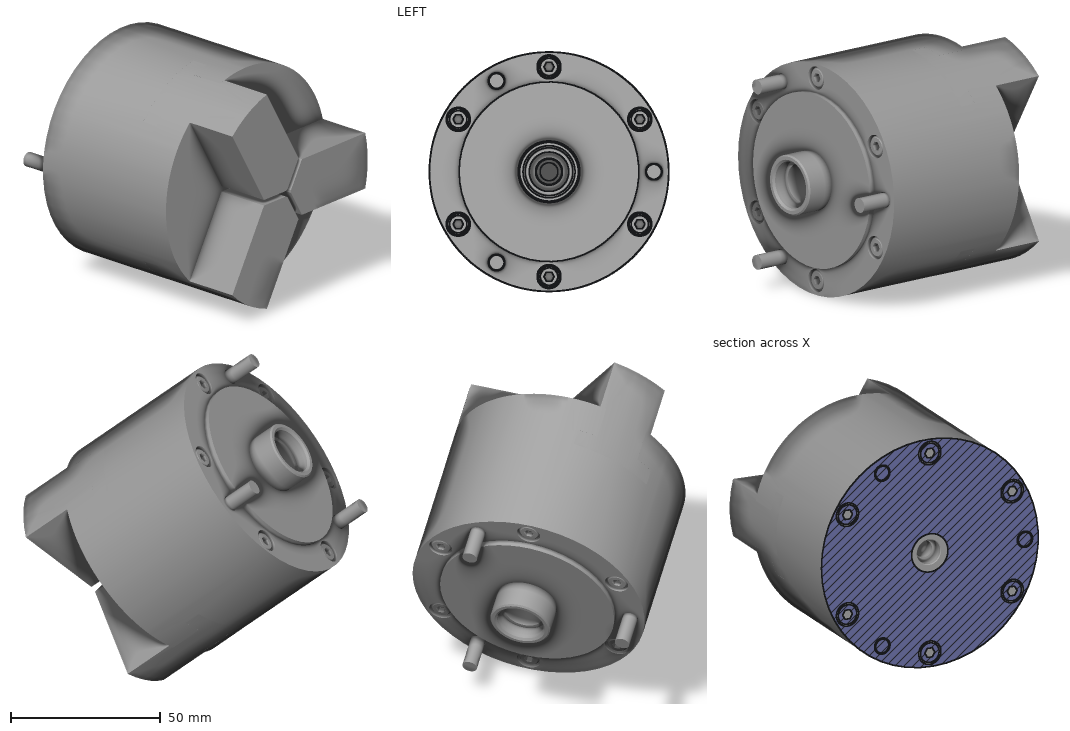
import cadquery as cq
import math


body_diameter = 80.0
body_length = 55.0
flange_diameter = 60.0
flange_thickness = 2.0

hub_diameter = 20.6
hub_end = -11.86
hub_chamfer = 0.5
entry_diameter = 16.0
entry_chamfer = 0.7
entry_depth = 5.0
bore_diameter = 13.2
bore_depth = 14.0
inner_diameter = 8.5
inner_chamfer = 0.25
inner_depth = 18.0
tip_diameter = 6.0
tip_depth = 22.0

pitch_radius = 35.0
pin_diameter = 5.0
pin_projection = 11.0
pin_hole_diameter = 5.5
pin_hole_depth = 10.0
pin_angles = (60, 180, 300)
screw_count = 6
first_screw_angle = 30
counterbore_diameter = 8.0
counterbore_depth = 4.4
head_diameter = 7.0
head_height = 4.0
head_chamfer = 0.6
hex_across_flats = 3.0
hex_depth = 2.0

jaw_angles = (0, 120, 240)
jaw_radius = 39.98
jaw_projection = 19.0
jaw_width = 20.0
jaw_gap = 2.0
jaw_tip_width = 1.0
jaw_point_half_angle = 180 / len(jaw_angles)
guide_neck_width = 16.0
guide_neck_depth = 12.0
guide_foot_width = 29.0
guide_foot_depth = 6.0
guide_foot_start = body_length - guide_neck_depth - guide_foot_depth


def cylinder(diameter, start, end):
    """Cylinder on the X axis between two X positions."""
    return cq.Workplane("YZ").workplane(offset=start).circle(diameter / 2).extrude(end - start)


def countersink(hole_diameter, chamfer, start):
    """45 degree cone that widens the mouth of a hole starting at an X position."""
    hole_radius = hole_diameter / 2
    return (
        cq.Workplane("YZ").workplane(offset=start)
        .circle(hole_radius + chamfer)
        .workplane(offset=chamfer).circle(hole_radius).loft()
    )


def place(solid, radius, angle):
    """Move a feature out along +Y, then turn it about X from +Y towards +Z."""
    return solid.translate((0, radius, 0)).rotate((0, 0, 0), (1, 0, 0), angle)


def place_upright(solid, radius, angle):
    """Move a feature to a polar position in YZ without turning it."""
    turn = math.radians(angle)
    return solid.translate((0, radius * math.cos(turn), radius * math.sin(turn)))


def make_body():
    """Solid body with the locating flange and the hub behind it."""
    body = cylinder(body_diameter, 0, body_length)
    flange = cylinder(flange_diameter, -flange_thickness, 0)
    hub = cylinder(hub_diameter, hub_end, -flange_thickness).faces("<X").chamfer(hub_chamfer)
    return body.union(flange).union(hub)


def make_hub_bore():
    """Stepped bore running forward from the rear end of the hub."""
    entry_end = hub_end + entry_depth
    bore_end = hub_end + bore_depth
    inner_end = hub_end + inner_depth
    return (
        cylinder(entry_diameter, hub_end, entry_end)
        .union(countersink(entry_diameter, entry_chamfer, hub_end))
        .union(cylinder(bore_diameter, entry_end, bore_end))
        .union(cylinder(inner_diameter, bore_end, inner_end))
        .union(countersink(inner_diameter, inner_chamfer, bore_end))
        .union(cylinder(tip_diameter, inner_end, hub_end + tip_depth))
    )


def make_screw_head():
    """Cap screw head with a hex socket, standing on the counterbore floor."""
    head_top = counterbore_depth - head_height
    hex_corner_diameter = hex_across_flats / math.cos(math.pi / 6)
    head = cylinder(head_diameter, head_top, counterbore_depth).faces("<X").chamfer(head_chamfer)
    socket = (
        cq.Workplane("YZ").workplane(offset=head_top)
        .polygon(6, hex_corner_diameter).extrude(hex_depth)
    )
    return head.cut(socket)


def make_guide_bar(start, depth, width):
    """Rectangular bar from the chuck axis to well past the body surface, along +Y."""
    bar = cq.Workplane("XY").box(depth, body_diameter, width, centered=(False, False, True))
    return bar.translate((start, 0, 0))


def make_guide():
    """T guide made of a wide foot with a narrower neck in front of it."""
    foot = make_guide_bar(guide_foot_start, guide_foot_depth, guide_foot_width)
    neck_start = guide_foot_start + guide_foot_depth
    neck = make_guide_bar(neck_start, guide_neck_depth, guide_neck_width)
    return foot.union(neck)


def make_guide_recess():
    """Thin sliver that lowers the T guide from the body surface to the jaw radius."""
    return make_guide().cut(cylinder(2 * jaw_radius, 0, body_length))


def make_jaw():
    """Gripping block along +Y, rounded outside, with a 120 degree point towards the axis."""
    half_width = jaw_width / 2
    half_tip = jaw_tip_width / 2
    half_angle = math.radians(jaw_point_half_angle)
    point_slope = 1 / math.tan(half_angle)
    apex = jaw_gap / 2 / math.sin(half_angle)
    tip = apex + half_tip * point_slope
    shoulder = apex + half_width * point_slope
    block = (
        cq.Workplane("YZ").workplane(offset=body_length)
        .polyline([
            (tip, -half_tip),
            (shoulder, -half_width),
            (body_diameter, -half_width),
            (body_diameter, half_width),
            (shoulder, half_width),
            (tip, half_tip),
        ]).close().extrude(jaw_projection)
    )
    return block.intersect(cylinder(2 * jaw_radius, body_length, body_length + jaw_projection))


result = make_body().cut(make_hub_bore())

counterbore = cylinder(counterbore_diameter, 0, counterbore_depth)
screw_head = make_screw_head()
for index in range(screw_count):
    screw_angle = first_screw_angle + index * 360 / screw_count
    result = result.cut(place_upright(counterbore, pitch_radius, screw_angle))
    result = result.union(place_upright(screw_head, pitch_radius, screw_angle))

pin_hole = cylinder(pin_hole_diameter, 0, pin_hole_depth)
pin = cylinder(pin_diameter, -pin_projection, pin_hole_depth)
for angle in pin_angles:
    result = result.cut(place(pin_hole, pitch_radius, angle))
    result = result.union(place(pin, pitch_radius, angle))

guide_recess = make_guide_recess()
jaw = make_jaw()
for angle in jaw_angles:
    result = result.cut(place(guide_recess, 0, angle))
    result = result.union(place(jaw, 0, angle))